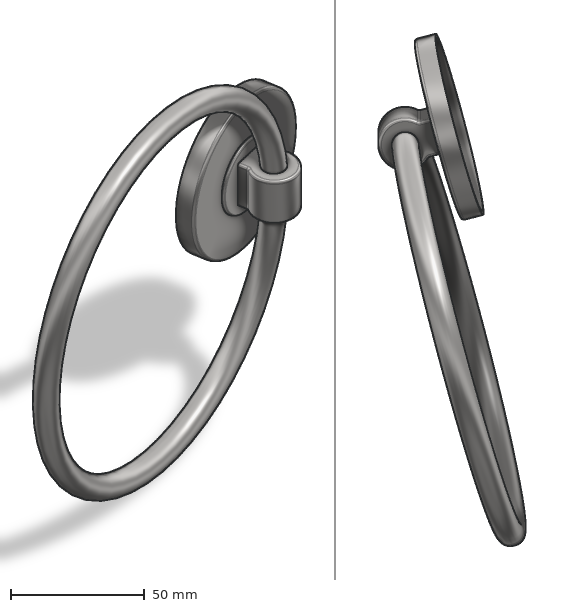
import cadquery as cq

flange_radius = 35.0
flange_depth = 8.2
flange_wall = 1.5
flange_fillet = 1.2
boss_radius = 16.3
boss_height = 1.2
boss_fillet = 0.8

post_radius = 10.1
post_height = 20.2
post_fillet = 1.2
neck_width = 14.2
neck_blend = 1.5

ring_outer_radius = 82.5
tube_radius = 5.0
overall_length = 194.5
overall_depth = 31.1

boss_face = flange_depth + boss_height
post_axis = overall_depth - post_radius
ring_radius = ring_outer_radius - tube_radius
ring_center_y = flange_radius - overall_length + ring_outer_radius


def make_ring():
    """Full torus whose axis runs along X."""
    return cq.Workplane(
        cq.Solid.makeTorus(
            ring_radius, tube_radius, cq.Vector(post_axis, ring_center_y, 0), cq.Vector(1, 0, 0)
        )
    )


def make_flange():
    """Cup with its opening at X = 0 and its boss facing the post."""
    cup = cq.Workplane("YZ").circle(flange_radius).extrude(flange_depth)
    cup = cup.faces(">X").edges().fillet(flange_fillet)
    recess = cq.Workplane("YZ").circle(flange_radius - flange_wall).extrude(flange_depth - flange_wall)
    boss = cq.Workplane("YZ", origin=(flange_depth, 0, 0)).circle(boss_radius).extrude(boss_height)
    boss = boss.faces(">X").edges().fillet(boss_fillet)
    return cup.cut(recess).union(boss)


def make_post(ring):
    """Cylinder and neck with rounded edges, bored to the shape of the ring tube."""
    bottom = -post_height / 2
    cylinder = cq.Workplane("XY", origin=(post_axis, 0, bottom)).circle(post_radius).extrude(post_height)
    neck = cq.Workplane("XY").box(
        post_axis - boss_face, neck_width, post_height, centered=(False, True, True)
    )
    neck = neck.translate((boss_face, 0, 0))
    post = cylinder.union(neck)
    corners = cq.selectors.BoxSelector(
        (boss_face + post_fillet, -neck_width, bottom),
        (post_axis - neck_width / 4, neck_width, -bottom),
    )
    post = post.edges("|Z").edges(corners).fillet(neck_blend)
    post = post.faces("<Z or >Z").edges("not(<X)").fillet(post_fillet)
    return post.cut(ring)


ring = make_ring()
flange = make_flange()
post = make_post(ring)
result = cq.Compound.makeCompound([flange.val(), post.val(), ring.val()])